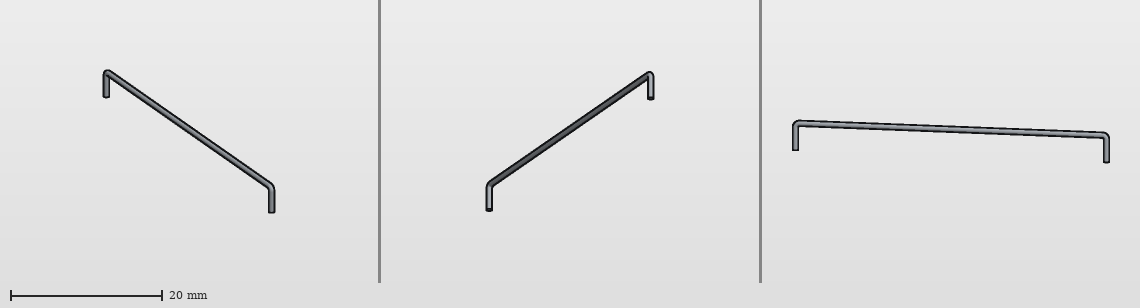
import cadquery as cq

overall_length = 42.75
overall_height = 3.98
wire_diameter = 0.75
bend_outer_radius = 0.95

wire_radius = wire_diameter / 2
bend_radius = bend_outer_radius - wire_radius
half_pitch = overall_length / 2 - wire_radius
bar_height = overall_height - wire_radius

centreline = (
    cq.Workplane("XZ")
    .moveTo(-half_pitch, 0)
    .lineTo(-half_pitch, bar_height - bend_radius)
    .radiusArc((-half_pitch + bend_radius, bar_height), bend_radius)
    .lineTo(half_pitch - bend_radius, bar_height)
    .radiusArc((half_pitch, bar_height - bend_radius), bend_radius)
    .lineTo(half_pitch, 0)
)

result = (
    cq.Workplane("XY", origin=(-half_pitch, 0, 0))
    .circle(wire_radius)
    .sweep(centreline)
)